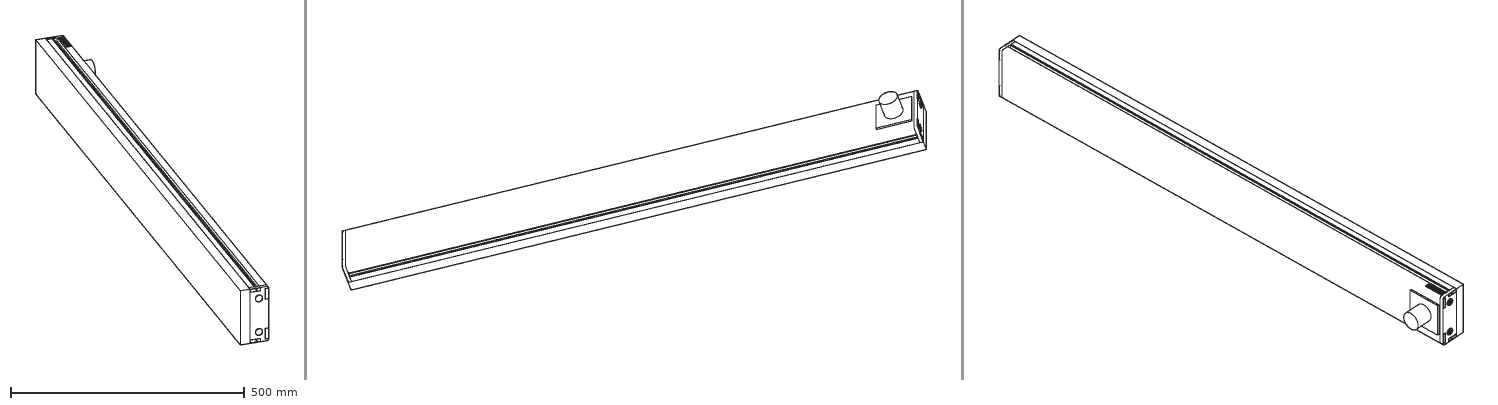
import cadquery as cq

total_length = 1294.0
plug_height = 2.5
length = total_length - plug_height
height = 130.0
half_height = height / 2
cover_depth = 22.0
back_y = 65.0
cap_length = 8.0
back_fillet = 5.0

slot_front_y = 38.0
slot_width = 8.0
slot_depth = 8.0
ledge_width = 3.0
ledge_depth = 1.0

fine_groove_count = 4
fine_groove_length = 48.0
fine_groove_width = 1.5
fine_groove_depth = 0.5
fine_groove_pitch = 3.0
fine_groove_first_y = 49.5

recess_depth = 1.0
recess_margin = 1.0
recess_width = 7.0
front_recess_end_y = 36.0
back_recess_start_z = 35.0

plug_diameter = 16.0
plug_core_diameter = 8.0
plug_y = 42.0
plug_z = 40.0
ring_depth = 2.0

flange_side = 80.0
flange_thickness = 4.0
spigot_diameter = 42.0
spigot_end_y = 110.0
connector_x = 52.0


def block(x_range, y_range, z_range):
    """Box between the given limits."""
    size = [high - low for low, high in (x_range, y_range, z_range)]
    corner = (x_range[0], y_range[0], z_range[0])
    return cq.Workplane("XY").box(*size, centered=False).translate(corner)


def both_sides(shape):
    """The shape together with its mirror image below mid height."""
    return shape.union(shape.mirror("XY"))


def back_section(x_range):
    """Solid length of the section behind the cover, with its back edges rounded."""
    body = block(x_range, (cover_depth, back_y), (-half_height, half_height))
    return body.edges("|X and >Y").fillet(back_fillet)


def plug_disc(x, z, diameter, thickness):
    """Round disc that starts at x and grows along +X."""
    return cq.Workplane("YZ", origin=(x, plug_y, z)).circle(diameter / 2).extrude(thickness)


def make_cover():
    return block((0, length), (0, cover_depth), (-half_height, half_height))


def make_housing():
    x_range = (cap_length, length - cap_length)
    slot_back_y = slot_front_y + slot_width
    slot = block(x_range, (slot_front_y, slot_back_y), (half_height - slot_depth, half_height))
    ledge_y_range = (slot_front_y - ledge_width, slot_front_y)
    ledge = block(x_range, ledge_y_range, (half_height - ledge_depth, half_height))
    housing = back_section(x_range).cut(both_sides(slot)).cut(both_sides(ledge))
    for index in range(fine_groove_count):
        groove_y = fine_groove_first_y + index * fine_groove_pitch
        groove = block(
            (cap_length, cap_length + fine_groove_length),
            (groove_y, groove_y + fine_groove_width),
            (half_height - fine_groove_depth, half_height),
        )
        housing = housing.cut(groove)
    return housing


def make_plain_cap():
    """End cap with its outer face on X = 0 and shallow recesses near the edges of that face."""
    x_range = (0, recess_depth)
    outer_z = half_height - recess_margin
    outer_y = back_y - recess_margin
    edge_band = (outer_z - recess_width, outer_z)
    front = block(x_range, (cover_depth + recess_margin, front_recess_end_y), edge_band)
    slot_end = block(x_range, (slot_front_y, slot_front_y + slot_width), edge_band)
    back_z_range = (back_recess_start_z, half_height - back_fillet)
    back = block(x_range, (outer_y - recess_width, outer_y), back_z_range)
    cap = back_section((0, cap_length))
    for recess in (front, slot_end, back):
        cap = cap.cut(both_sides(recess))
    return cap


def make_left_cap():
    cap = make_plain_cap()
    for z in (-plug_z, plug_z):
        core = plug_disc(0, z, plug_core_diameter, ring_depth)
        ring = plug_disc(0, z, plug_diameter, ring_depth).cut(core)
        cap = cap.cut(ring)
    return cap


def make_right_cap():
    cap = make_plain_cap().mirror("YZ").translate((length, 0, 0))
    for z in (-plug_z, plug_z):
        cap = cap.union(plug_disc(length, z, plug_diameter, plug_height))
    return cap


def make_connector():
    half_side = flange_side / 2
    flange = block(
        (connector_x - half_side, connector_x + half_side),
        (back_y, back_y + flange_thickness),
        (-half_side, half_side),
    )
    spigot_base = cq.Workplane("XZ", origin=(connector_x, back_y, 0)).circle(spigot_diameter / 2)
    spigot = spigot_base.extrude(back_y - spigot_end_y)
    return flange.union(spigot)


cover = make_cover()
housing = make_housing()
left_cap = make_left_cap()
right_cap = make_right_cap()
connector = make_connector()

result = cq.Compound.makeCompound(
    [cover.val(), housing.val(), left_cap.val(), right_cap.val(), connector.val()]
)